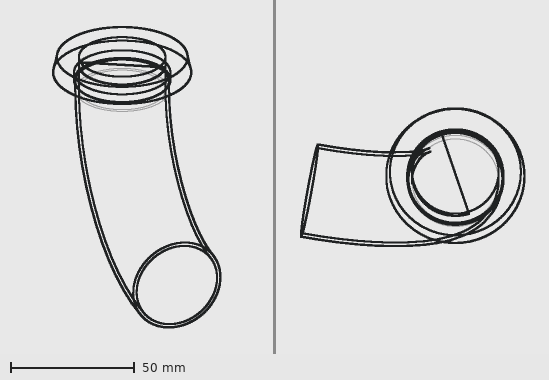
import cadquery as cq

pipe_radius = 19.0
bore_radius = 17.5
bend_radius = 60.0
bend_start_z = -15.0

flange_top_radius = 26.5
flange_bottom_radius = 28.0
flange_height = 7.0

collar_radius = 19.5
collar_bottom_z = -11.0
collar_chamfer = 0.5

baffle_top_z = -3.5
baffle_thickness = 0.2
baffle_edge_angle = 61.0
baffle_overlap = 0.5


def elbow(radius):
    """Solid round bar following the inlet and the quarter bend."""
    inlet = cq.Workplane("XY").circle(radius).extrude(bend_start_z)
    bend = (
        cq.Workplane("XY", origin=(0, 0, bend_start_z))
        .circle(radius)
        .revolve(90, (bend_radius, 0, 0), (bend_radius, -1, 0))
    )
    return inlet.union(bend)


def flange():
    """Cone frustum, wider at its lower face."""
    return (
        cq.Workplane("XZ")
        .polyline([
            (0, 0),
            (flange_top_radius, 0),
            (flange_bottom_radius, -flange_height),
            (0, -flange_height),
        ])
        .close()
        .revolve(360, (0, 0, 0), (0, 1, 0))
    )


def collar():
    """Short cylinder with a chamfered lower rim."""
    return (
        cq.Workplane("XY")
        .circle(collar_radius)
        .extrude(collar_bottom_z)
        .faces("<Z")
        .chamfer(collar_chamfer)
    )


def baffle():
    """Half disc whose straight edge passes through the bore axis."""
    radius = bore_radius + baffle_overlap
    return (
        cq.Workplane("XY", origin=(0, 0, baffle_top_z))
        .moveTo(-radius, 0)
        .threePointArc((0, -radius), (radius, 0))
        .close()
        .extrude(-baffle_thickness)
        .rotate((0, 0, 0), (0, 0, 1), baffle_edge_angle)
    )


body = elbow(pipe_radius).union(flange()).union(collar())
result = body.cut(elbow(bore_radius)).union(baffle())